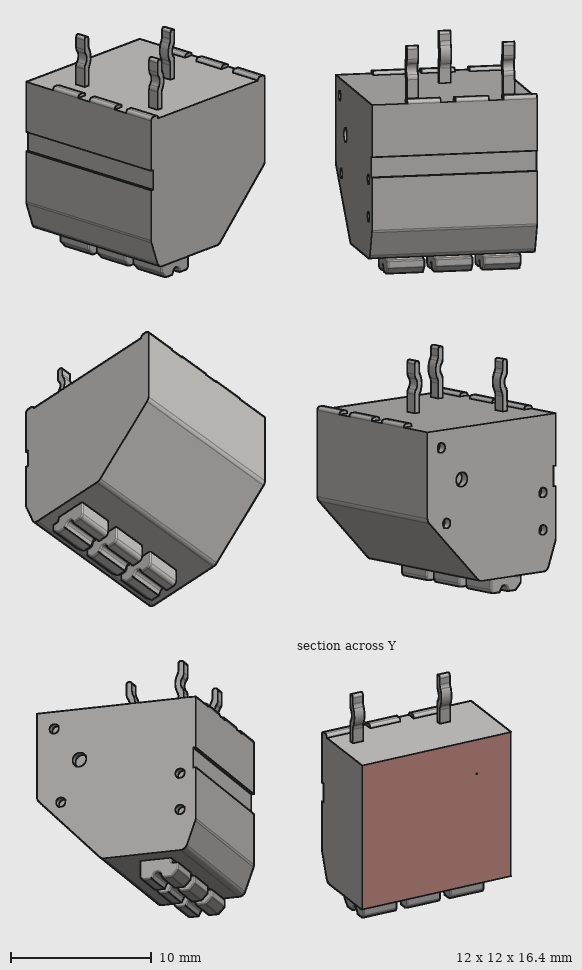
import cadquery as cq
import math


WIDTH = 12.0
DEPTH = 12.0
HEIGHT = 11.28
HALF_DEPTH = DEPTH / 2
CORNER_RADIUS = 0.5
REAR_SLOPE_TOP = -6.42
REAR_SLOPE_ANGLE = 45.0
FRONT_SLOPE_TOP = -9.12
FRONT_SLOPE_ANGLE = 70.0
GROOVE_TOP = -3.78
GROOVE_BOTTOM = -5.25
GROOVE_DEPTH = 0.2

SMALL_HOLE_DIAMETER = 0.7
SMALL_HOLE_CENTERS = [(4.7, -1.27), (4.2, -6.77), (-4.81, -5.58), (-4.81, -8.27)]
LARGE_HOLE_DIAMETER = 1.03
LARGE_HOLE_CENTER = (2.79, -3.76)
HOLE_DEPTH = 0.6

POLE_COUNT = 3
POLE_PITCH = 3.5
EMBED = 0.5

RIB_LENGTH = 2.42
RIB_WIDTH = 0.75
RIB_HEIGHT = 0.25
FIRST_RIB_CENTER_X = WIDTH / 2 - RIB_LENGTH / 2 - (POLE_COUNT - 1) * POLE_PITCH

PIN_LENGTH = 3.75
PIN_WIDTH = 0.82
PIN_THICKNESS = 0.42
FIRST_PIN_CENTER_X = -2.61
FRONT_PIN_Y = -3.8
REAR_PIN_Y = 1.41
BULGE_Z = 2.09
BULGE_OFFSET = 0.24
OUTER_BULGE_HALF = 0.985
OUTER_CREST_HALF = 0.67
INNER_BULGE_HALF = 0.735
INNER_CREST_HALF = 0.395

LEVER_LENGTH = 2.73
LEVER_DROP = 1.4
LEVER_END_RADIUS = 0.1
FIRST_LEVER_CENTER_X = -3.115
LEVER_REAR_Y = -1.21
LEVER_NECK_Y = -3.57
LEVER_NOSE_Y = -4.1
LEVER_NOSE_TOP = 0.34
LEVER_NOSE_BEVEL = 0.5
LEVER_REAR_RADIUS = 0.32
LEVER_NECK_RADIUS = 0.2
LEVER_NOSE_RADIUS = 0.08
NOTCH_Y = -2.51
NOTCH_MOUTH_HALF = 0.39
NOTCH_TOP_HALF = 0.17
NOTCH_DEPTH = 0.47
NOTCH_RADIUS = 0.25


def prism(outline, center_x, length):
    """Extrude a closed YZ outline along X, centered on center_x."""
    return outline.extrude(length / 2, both=True).translate((center_x, 0, 0))


def pole_positions(first_center_x):
    return [first_center_x + index * POLE_PITCH for index in range(POLE_COUNT)]


def make_housing():
    rear_run = (HEIGHT + REAR_SLOPE_TOP) / math.tan(math.radians(REAR_SLOPE_ANGLE))
    front_run = (HEIGHT + FRONT_SLOPE_TOP) / math.tan(math.radians(FRONT_SLOPE_ANGLE))
    outline = (
        cq.Workplane("YZ")
        .moveTo(HALF_DEPTH, 0)
        .lineTo(-HALF_DEPTH, 0)
        .lineTo(-HALF_DEPTH, FRONT_SLOPE_TOP)
        .lineTo(-HALF_DEPTH + front_run, -HEIGHT)
        .lineTo(HALF_DEPTH - rear_run, -HEIGHT)
        .lineTo(HALF_DEPTH, REAR_SLOPE_TOP)
        .close()
    )
    below_top = cq.selectors.BoxSelector(
        (-WIDTH, -DEPTH, -2 * HEIGHT), (WIDTH, DEPTH, -CORNER_RADIUS)
    )
    housing = prism(outline, 0, WIDTH).edges("|X").edges(below_top).fillet(CORNER_RADIUS)
    groove = cq.Workplane("XY").box(WIDTH, 2 * GROOVE_DEPTH, GROOVE_TOP - GROOVE_BOTTOM)
    return housing.cut(groove.translate((0, -HALF_DEPTH, (GROOVE_TOP + GROOVE_BOTTOM) / 2)))


def make_side_holes():
    side = cq.Workplane("YZ", origin=(-WIDTH / 2, 0, 0))
    small = side.pushPoints(SMALL_HOLE_CENTERS).circle(SMALL_HOLE_DIAMETER / 2).extrude(HOLE_DEPTH)
    large = side.center(*LARGE_HOLE_CENTER).circle(LARGE_HOLE_DIAMETER / 2).extrude(HOLE_DEPTH)
    return small.union(large)


def make_rib(center_x, center_y):
    half = RIB_WIDTH / 2
    flat_half = half - RIB_HEIGHT
    outline = (
        cq.Workplane("YZ")
        .moveTo(half, 0)
        .radiusArc((flat_half, RIB_HEIGHT), -RIB_HEIGHT)
        .lineTo(-flat_half, RIB_HEIGHT)
        .radiusArc((-half, 0), -RIB_HEIGHT)
        .close()
    )
    return prism(outline, center_x, RIB_LENGTH).translate((0, center_y, 0))


def bulge_arcs(base_y, half_length, crest_half):
    """Points of one bulged pin face from bottom to top: three tangent arcs as (mid, end) pairs."""
    sweep = 2 * math.atan(BULGE_OFFSET / half_length)
    crest_radius = crest_half / math.sin(sweep)
    root_radius = (half_length - crest_half) / math.sin(sweep)
    mid_rise = root_radius * (1 - math.cos(sweep / 2))
    mid_height = half_length - root_radius * math.sin(sweep / 2)
    crest_y = base_y + BULGE_OFFSET
    join_y = crest_y - crest_radius * (1 - math.cos(sweep))
    return [
        ((base_y + mid_rise, BULGE_Z - mid_height), (join_y, BULGE_Z - crest_half)),
        ((crest_y, BULGE_Z), (join_y, BULGE_Z + crest_half)),
        ((base_y + mid_rise, BULGE_Z + mid_height), (base_y, BULGE_Z + half_length)),
    ]


def make_pin(center_x, center_y, bulge_direction):
    """Pin at the given place; bulge_direction is +1 or -1 along Y."""
    half = PIN_THICKNESS / 2
    outline = cq.Workplane("YZ").moveTo(half, -EMBED).lineTo(half, BULGE_Z - OUTER_BULGE_HALF)
    for mid, end in bulge_arcs(half, OUTER_BULGE_HALF, OUTER_CREST_HALF):
        outline = outline.threePointArc(mid, end)
    outline = outline.lineTo(half, PIN_LENGTH - half)
    outline = outline.threePointArc((0, PIN_LENGTH), (-half, PIN_LENGTH - half))
    outline = outline.lineTo(-half, BULGE_Z + INNER_BULGE_HALF)
    for mid, end in bulge_arcs(-half, INNER_BULGE_HALF, INNER_CREST_HALF):
        outline = outline.threePointArc(
            (mid[0], 2 * BULGE_Z - mid[1]), (end[0], 2 * BULGE_Z - end[1])
        )
    outline = outline.lineTo(-half, -EMBED).close()
    pin = prism(outline, 0, PIN_WIDTH)
    if bulge_direction < 0:
        pin = pin.mirror("XZ")
    return pin.translate((center_x, center_y, 0))


def round_edge(body, y, z, radius):
    """Fillet the edge along X that passes nearest to the given y and z."""
    return body.edges(cq.selectors.NearestToPointSelector((0, y, z))).fillet(radius)


def make_lever(center_x):
    """Hooked lever with a notched underside, drawn with Z = 0 at the housing underside."""
    bevel_y = LEVER_NOSE_Y + LEVER_NOSE_BEVEL
    bevel_top = -LEVER_DROP + LEVER_NOSE_BEVEL
    notch_top = -LEVER_DROP + NOTCH_DEPTH
    outline = (
        cq.Workplane("YZ")
        .moveTo(LEVER_REAR_Y, EMBED)
        .lineTo(LEVER_REAR_Y, -LEVER_DROP)
        .lineTo(NOTCH_Y + NOTCH_MOUTH_HALF, -LEVER_DROP)
        .lineTo(NOTCH_Y + NOTCH_TOP_HALF, notch_top)
        .lineTo(NOTCH_Y - NOTCH_TOP_HALF, notch_top)
        .lineTo(NOTCH_Y - NOTCH_MOUTH_HALF, -LEVER_DROP)
        .lineTo(bevel_y, -LEVER_DROP)
        .lineTo(LEVER_NOSE_Y, bevel_top)
        .lineTo(LEVER_NOSE_Y, -LEVER_NOSE_TOP)
        .lineTo(LEVER_NECK_Y, -LEVER_NOSE_TOP)
        .lineTo(LEVER_NECK_Y, EMBED)
        .close()
    )
    lever = prism(outline, 0, LEVER_LENGTH)
    lever = round_edge(lever, LEVER_REAR_Y, -LEVER_DROP, LEVER_REAR_RADIUS)
    lever = round_edge(lever, LEVER_NECK_Y, -LEVER_NOSE_TOP, LEVER_NECK_RADIUS)
    lever = round_edge(lever, bevel_y, -LEVER_DROP, LEVER_NOSE_RADIUS)
    lever = round_edge(lever, LEVER_NOSE_Y, bevel_top, LEVER_NOSE_RADIUS)
    lever = round_edge(lever, LEVER_NOSE_Y, -LEVER_NOSE_TOP, LEVER_NOSE_RADIUS)
    for side in (1, -1):
        notch_corner_y = NOTCH_Y + side * NOTCH_TOP_HALF
        lever = round_edge(lever, notch_corner_y, notch_top, NOTCH_RADIUS)
    lever = lever.faces("<X or >X").edges().fillet(LEVER_END_RADIUS)
    return lever.translate((center_x, 0, -HEIGHT))


result = make_housing().cut(make_side_holes())

rib_center_y = HALF_DEPTH - RIB_WIDTH / 2
for rib_x in pole_positions(FIRST_RIB_CENTER_X):
    for rib_y in (-rib_center_y, rib_center_y):
        result = result.union(make_rib(rib_x, rib_y))

for index, pin_x in enumerate(pole_positions(FIRST_PIN_CENTER_X)):
    if index % 2 == 0:
        result = result.union(make_pin(pin_x, FRONT_PIN_Y, 1))
    else:
        result = result.union(make_pin(pin_x, REAR_PIN_Y, -1))

for lever_x in pole_positions(FIRST_LEVER_CENTER_X):
    result = result.union(make_lever(lever_x))